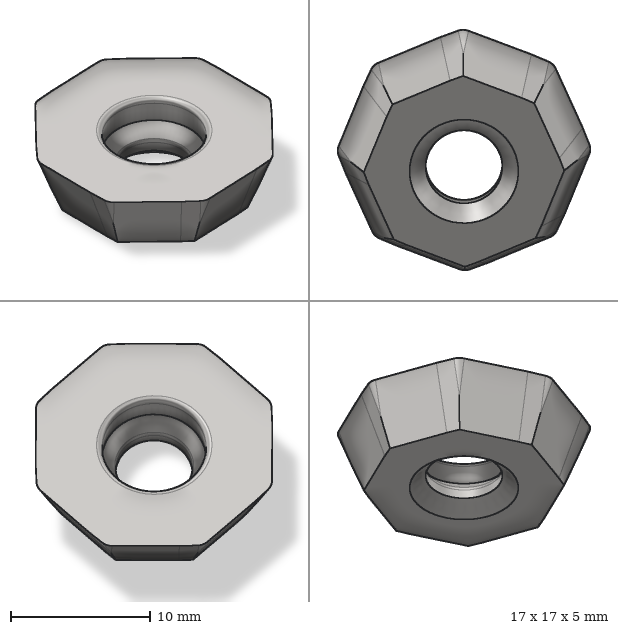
import cadquery as cq
import math

side_count = 8
thickness = 5.0
top_apothem = 8.5
relief_angle = 20.0

wiper_angle = 2.5
wiper_start = 1.84

corner_radius = 1.02
corner_depth = 2.64
cutter_overhang = 0.17

lip_radius = 0.4
seat_wall_radius = 3.74
seat_wall_depth = 1.95
seat_end_radius = 2.84
seat_end_depth = 2.9
bore_radius = 2.75
bore_start_depth = 3.2
bore_end_depth = 3.95
bottom_flare_radius = 3.91


def corner_at(index, drop):
    """Sharp corner between a wiper flat and the next main flat, at a depth below the top."""
    wiper = math.radians(wiper_angle)
    side_step = math.radians(360 / side_count)
    inset = drop * math.tan(math.radians(relief_angle))
    main_apothem = top_apothem - inset
    wiper_apothem = top_apothem * math.cos(wiper) + wiper_start * math.sin(wiper) - inset
    turn = side_step - wiper
    along = (main_apothem * math.cos(turn) - wiper_apothem) / math.sin(turn)
    heading = index * side_step
    return cq.Vector(
        main_apothem * math.cos(heading) - along * math.sin(heading),
        main_apothem * math.sin(heading) + along * math.cos(heading),
        thickness - drop,
    )


def wiper_split(index):
    """Top end of the main flat, where its wiper flat begins."""
    heading = math.radians(index * 360 / side_count)
    return cq.Vector(
        top_apothem * math.cos(heading) - wiper_start * math.sin(heading),
        top_apothem * math.sin(heading) + wiper_start * math.cos(heading),
        thickness,
    )


def make_body():
    """Octagon with wiper flats, drawn on the top face and tapering downward."""
    outline = []
    for index in range(side_count):
        for point in (corner_at(index, 0), wiper_split(index)):
            outline.append((point.x, -point.y))
    upside_down = cq.Workplane("XY", origin=(0, 0, thickness)).transformed(rotate=(180, 0, 0))
    return upside_down.polyline(outline).close().extrude(thickness, taper=relief_angle)


def flat_face(*edges):
    return cq.Face.makeFromWires(cq.Wire.assembleEdges(edges))


def make_corner_cutter(index):
    """Sliver between the sharp corner and its conical rounding, pointed at the lower end."""
    turn = math.radians(360 / side_count - wiper_angle)
    tangent_length = corner_radius * math.tan(turn / 2)
    corner = corner_at(index, 0)
    tip = corner_at(index, corner_depth)
    before = (wiper_split(index - 1) - corner).normalized()
    after = (wiper_split(index) - corner).normalized()
    inward = (before + after).normalized()
    start = corner + before * tangent_length
    end = corner + after * tangent_length
    middle = corner + inward * (corner_radius / math.cos(turn / 2) - corner_radius)
    arc = cq.Edge.makeThreePointArc(start, middle, end)
    outside = corner - inward * cutter_overhang

    start_tip = cq.Edge.makeLine(start, tip)
    end_tip = cq.Edge.makeLine(end, tip)
    outside_tip = cq.Edge.makeLine(outside, tip)
    start_outside = cq.Edge.makeLine(start, outside)
    end_outside = cq.Edge.makeLine(end, outside)
    faces = [
        cq.Face.makeNSidedSurface([arc, end_tip, start_tip], []),
        flat_face(start_outside, arc, end_outside),
        flat_face(start_outside, start_tip, outside_tip),
        flat_face(end_outside, outside_tip, end_tip),
    ]
    return cq.Workplane(cq.Solid.makeSolid(cq.Shell.makeShell(faces)))


def make_hole():
    """Stepped hole: rounded lip, straight wall, bulging seat, bore and bottom flare."""
    lip_base_height = thickness - lip_radius
    lip_outer_radius = seat_wall_radius + lip_radius
    lip_offset = lip_radius * math.sqrt(0.5)
    lip_middle = (lip_outer_radius - lip_offset, lip_base_height + lip_offset)
    return (
        cq.Workplane("XZ")
        .moveTo(0, 0)
        .lineTo(bottom_flare_radius, 0)
        .lineTo(bore_radius, thickness - bore_end_depth)
        .lineTo(bore_radius, thickness - bore_start_depth)
        .tangentArcPoint((seat_end_radius, thickness - seat_end_depth), relative=False)
        .tangentArcPoint((seat_wall_radius, thickness - seat_wall_depth), relative=False)
        .lineTo(seat_wall_radius, lip_base_height)
        .threePointArc(lip_middle, (lip_outer_radius, thickness))
        .lineTo(0, thickness)
        .close()
        .revolve(360, (0, 0, 0), (0, 1, 0))
    )


result = make_body()
for corner_index in range(side_count):
    result = result.cut(make_corner_cutter(corner_index))
result = result.cut(make_hole())